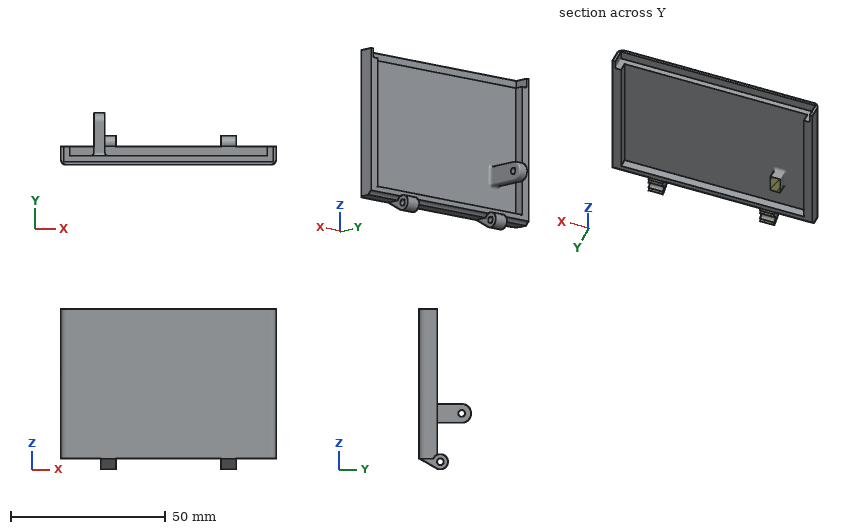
import cadquery as cq
import math

cover_width = 70.0
cover_depth = 6.0
cover_height = 48.5
front_wall = 1.0
side_wall = 1.0
front_corner_radius = 2.0

frame_top = 45.5
backing_face_y = 3.0
rail_inset = 3.0
bottom_rail_height = 3.0
frame_fillet = 0.5

lug_width = 5.0
lug_centre_x = 19.5
lug_radius = 2.5
lug_pin_y = 7.0
lug_pin_z = -1.02
lug_web_angle = 30.0

arm_width = 3.6
arm_centre_x = -22.4
arm_radius = 3.1
arm_pin_y = 13.9
arm_pin_z = 14.65
arm_edge_fillet = 0.5
arm_root_fillet = 1.0

pin_hole_radius = 1.05

selection_margin = 0.1


def block(x_min, x_max, y_min, y_max, z_min, z_max):
    """Axis-aligned box between the given limits."""
    size = (x_max - x_min, y_max - y_min, z_max - z_min)
    return cq.Workplane("XY").box(*size, centered=False).translate((x_min, y_min, z_min))


def make_cover():
    half = cover_width / 2
    inner_half = half - side_wall
    outer = block(-half, half, 0, cover_depth, 0, cover_height)
    outer = outer.edges("|Z and <Y").fillet(front_corner_radius)
    return outer.cut(block(-inner_half, inner_half, front_wall, cover_depth, 0, cover_height))


def frame_top_fillet(side):
    """Concave fillet between the top of a side rail and the side wall; side is +1 or -1."""
    wall_x = side * (cover_width / 2 - side_wall)
    rail_x = wall_x - side * frame_fillet
    arc_step = frame_fillet * (1 - math.sqrt(0.5))
    return (
        cq.Workplane("XZ", origin=(0, cover_depth, 0))
        .moveTo(wall_x, frame_top)
        .lineTo(rail_x, frame_top)
        .threePointArc(
            (wall_x - side * arc_step, frame_top + arc_step),
            (wall_x, frame_top + frame_fillet),
        )
        .close()
        .extrude(cover_depth - front_wall)
    )


def make_frame():
    outer_half = cover_width / 2 - side_wall
    inner_half = cover_width / 2 - rail_inset
    frame = block(-outer_half, outer_half, front_wall, cover_depth, 0, frame_top)
    frame = frame.cut(
        block(-inner_half, inner_half, backing_face_y, cover_depth, bottom_rail_height, frame_top)
    )
    frame = frame.union(frame_top_fillet(1)).union(frame_top_fillet(-1))
    return frame


def make_lug(centre_x):
    """Round eye with a web tangent to it, rising at a fixed angle to the underside of the cover."""
    angle = math.radians(lug_web_angle)
    tangent_y = lug_pin_y - lug_radius * math.sin(angle)
    tangent_z = lug_pin_z - lug_radius * math.cos(angle)
    web_start_y = tangent_y + tangent_z / math.tan(angle)

    plane = cq.Workplane("YZ", origin=(centre_x - lug_width / 2, 0, 0))
    eye = plane.center(lug_pin_y, lug_pin_z).circle(lug_radius).extrude(lug_width)
    web = (
        plane.polyline([(web_start_y, 0), (tangent_y, tangent_z), (lug_pin_y, lug_pin_z), (cover_depth, 0)])
        .close()
        .extrude(lug_width)
    )
    return eye.union(web)


def make_arm():
    plane = cq.Workplane("YZ", origin=(arm_centre_x - arm_width / 2, 0, 0))
    arm = (
        plane.moveTo(backing_face_y, arm_pin_z - arm_radius)
        .lineTo(arm_pin_y, arm_pin_z - arm_radius)
        .threePointArc((arm_pin_y + arm_radius, arm_pin_z), (arm_pin_y, arm_pin_z + arm_radius))
        .lineTo(backing_face_y, arm_pin_z + arm_radius)
        .close()
        .extrude(arm_width)
    )
    return arm.faces("<X or >X").edges("not <Y").fillet(arm_edge_fillet)


def pin_cylinder(centre_x, width, pin_y, pin_z, radius):
    """Cylinder along X, centred on a pin axis."""
    plane = cq.Workplane("YZ", origin=(centre_x - width / 2, pin_y, pin_z))
    return plane.circle(radius).extrude(width)


def make_body():
    """Cover, frame and arm, with the arm root filleted and the lower back edge relieved."""
    body = make_cover().union(make_frame()).union(make_arm())
    arm_root = cq.selectors.BoxSelector(
        (arm_centre_x - arm_width, backing_face_y - selection_margin, arm_pin_z - 2 * arm_radius),
        (arm_centre_x + arm_width, backing_face_y + selection_margin, arm_pin_z + 2 * arm_radius),
    )
    body = body.edges(arm_root).fillet(arm_root_fillet)
    body = body.cut(pin_cylinder(0, cover_width, lug_pin_y, lug_pin_z, lug_radius))
    return body.cut(pin_cylinder(arm_centre_x, arm_width, arm_pin_y, arm_pin_z, pin_hole_radius))


result = make_body()
for lug_x in (-lug_centre_x, lug_centre_x):
    result = result.union(make_lug(lug_x))
    result = result.cut(pin_cylinder(lug_x, lug_width, lug_pin_y, lug_pin_z, pin_hole_radius))